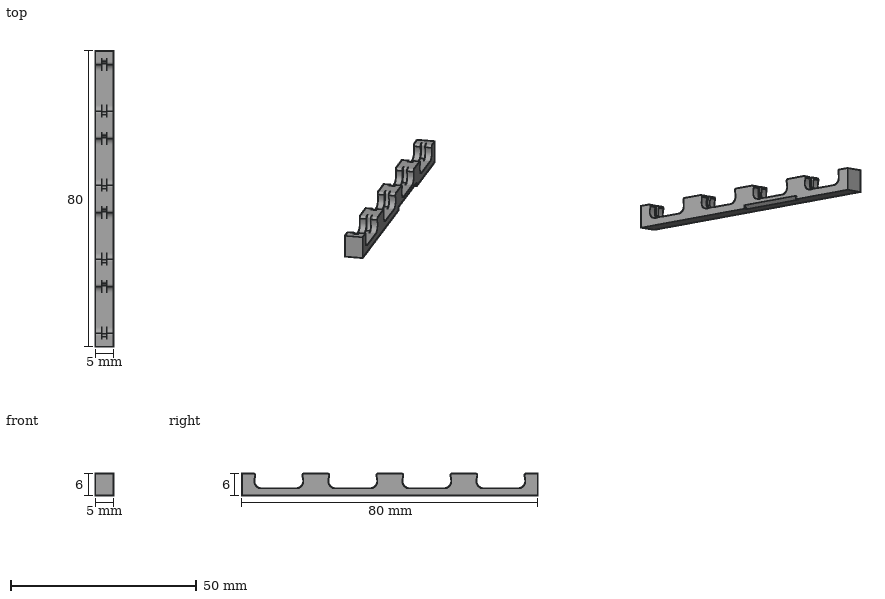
import cadquery as cq
import math

length = 80.0
width = 5.0
height = 6.0

pocket_count = 4
pitch = length / pocket_count
floor_height = 2.0
lip_radius = 0.6
pocket_wall_reach = 6.6
pocket_corner_radius = 1.8
pocket_floor_reach = pocket_wall_reach - pocket_corner_radius
pocket_wall_height = floor_height + pocket_corner_radius
pocket_lip_reach = 6.3

groove_width = 1.3
groove_wall_reach = 7.3
groove_floor_reach = 6.5
groove_wall_height = 4.2
groove_lip_reach = 7.2

relief_length = pitch
relief_height = 1.0
relief_depth = relief_height


def lipped_cutter(thickness, floor_reach, wall_reach, wall_height, lip_reach):
    """Symmetric cutter about Y = 0 whose ends bulge below a rounded lip.

    Each end rises from the floor at floor_reach on an arc that turns vertical at
    (wall_reach, wall_height), curves back to the lip and rounds over to the top.
    """
    arc_depth = wall_reach - floor_reach
    arc_rise = wall_height - floor_height
    arc_radius = (arc_depth**2 + arc_rise**2) / (2 * arc_depth)
    half_angle = math.atan2(arc_depth, arc_rise)
    arc_middle = (
        wall_reach - arc_radius * (1 - math.cos(half_angle)),
        wall_height - arc_radius * math.sin(half_angle),
    )
    lip_inset = lip_radius * (1 - math.sqrt(0.5))
    half = (
        cq.Workplane("YZ")
        .moveTo(0, floor_height)
        .lineTo(floor_reach, floor_height)
        .threePointArc(arc_middle, (wall_reach, wall_height))
        .tangentArcPoint((lip_reach, height - lip_radius), relative=False)
        .threePointArc((lip_reach + lip_inset, height - lip_inset), (lip_reach + lip_radius, height))
        .lineTo(0, height)
        .close()
        .extrude(thickness / 2, both=True)
    )
    return half.union(half.mirror("XZ"))


def underside_relief():
    """Wedge along the lower -X edge, from mid-length towards -Y."""
    edge_x = -width / 2
    return (
        cq.Workplane("XZ")
        .polyline([(edge_x, 0), (edge_x + relief_depth, 0), (edge_x, relief_height)])
        .close()
        .extrude(relief_length)
    )


pocket = lipped_cutter(
    width, pocket_floor_reach, pocket_wall_reach, pocket_wall_height, pocket_lip_reach
)
groove = lipped_cutter(
    groove_width, groove_floor_reach, groove_wall_reach, groove_wall_height, groove_lip_reach
)
clip_cutter = pocket.union(groove)

result = cq.Workplane("XY").box(width, length, height, centered=(True, True, False))
for index in range(pocket_count):
    pocket_y = (index - (pocket_count - 1) / 2) * pitch
    result = result.cut(clip_cutter.translate((0, pocket_y, 0)))
result = result.cut(underside_relief())